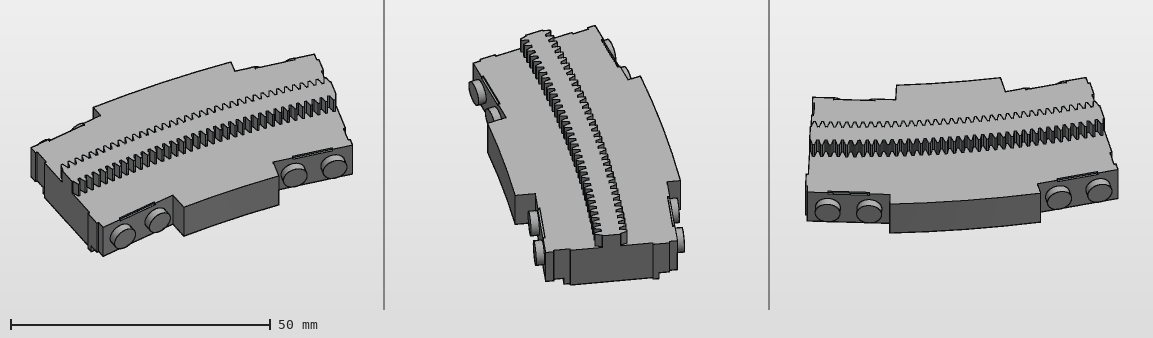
import cadquery as cq
import math


stud_pitch = 24 / 3
step = stud_pitch / 20
plate = stud_pitch / 5
stud_diameter = 4.8
stud_length = plate

rail_radius = 25 * stud_pitch
sweep = math.asin(7 / 25)
outer_radius = rail_radius + 2 * stud_pitch
inner_radius = rail_radius - 2 * stud_pitch

body_height = stud_pitch
body_top = plate + body_height
rail_height = 2 * plate
stud_height = plate + body_height / 2

end_width = 3.2 * stud_pitch
end_length = 2 * stud_pitch
frame_width = 2.3 * stud_pitch
frame_wall = 1.2
tongue_width = 2 * plate
tongue_offset = end_width / 2 - plate - tongue_width / 2

teeth = 36
root_half_width = 1.8
tip_half_width = 3.1


def polar(radius, angle):
    """Point at a radius around the bend centre, with angles counted from the near end."""
    return (rail_radius - radius * math.cos(angle), radius * math.sin(angle))


def box(x_min, x_max, y_min, y_max, z_min, z_max):
    size = (x_max - x_min, y_max - y_min, z_max - z_min)
    return cq.Workplane("XY").box(*size, centered=False).translate((x_min, y_min, z_min))


def bottom_frame():
    """Three walls below an end block, left open towards the middle of the part."""
    half = frame_width / 2
    inner_half = half - frame_wall
    frame = box(-half, half, 0, end_length, 0, plate)
    return frame.cut(box(-inner_half, inner_half, frame_wall, end_length, 0, plate))


def end_face_profile(end):
    """Cut the recess and add the tongue on the end face; both reach down the frame."""
    half = tongue_width / 2
    recess = box(-tongue_offset - half, -tongue_offset + half, 0, step, 0, body_top)
    tongue = box(tongue_offset - half, tongue_offset + half, -step, 0, plate, body_top)
    frame_tongue = box(tongue_offset - half, frame_width / 2, -step, 0, 0, plate)
    return end.cut(recess).union(tongue).union(frame_tongue)


def end_block():
    """End block with studs and top-edge grooves on both sides, in the near-end position."""
    half = end_width / 2
    first_stud = stud_pitch / 2
    last_stud = first_stud + stud_pitch

    block = box(-half, half, 0, end_length, plate, body_top)
    block = end_face_profile(block.union(bottom_frame()))
    for side in (-1, 1):
        wall = side * half
        groove_bounds = sorted((wall, wall - side * step))
        block = block.cut(box(*groove_bounds, first_stud, last_stud, body_top - step, body_top))
        for stud_place in (first_stud, last_stud):
            stud = (
                cq.Workplane("YZ", origin=(wall, 0, 0))
                .center(stud_place, stud_height)
                .circle(stud_diameter / 2)
                .extrude(side * stud_length)
            )
            block = block.union(stud)
    return block


def move_to_far_end(end):
    """Turn the near end to face the other way and swing it along the bend."""
    turned = end.rotate((0, 0, 0), (0, 0, 1), 180)
    return turned.rotate((rail_radius, 0, 0), (rail_radius, 0, 1), -math.degrees(sweep))


def middle_body():
    """Wider body with concentric curved flanks between the two end blocks."""
    outer_start = math.asin(end_length / outer_radius)
    inner_start = math.asin(end_length / inner_radius)
    return (
        cq.Workplane("XY", origin=(0, 0, plate))
        .moveTo(*polar(outer_radius, outer_start))
        .threePointArc(polar(outer_radius, sweep / 2), polar(outer_radius, sweep - outer_start))
        .lineTo(*polar(inner_radius, sweep - inner_start))
        .threePointArc(polar(inner_radius, sweep / 2), polar(inner_radius, inner_start))
        .close()
        .extrude(body_height)
    )


def toothed_edge(side):
    """Points along one side of the rail; every tooth has equal flats and flanks."""
    root = rail_radius + side * root_half_width
    tip = rail_radius + side * tip_half_width
    pitch = sweep / teeth
    points = [polar(root, 0)]
    for tooth in range(teeth):
        for radius, fraction in ((root, 1 / 8), (tip, 3 / 8), (tip, 5 / 8), (root, 7 / 8)):
            points.append(polar(radius, (tooth + fraction) * pitch))
    points.append(polar(root, sweep))
    return points


def toothed_rail():
    outline = toothed_edge(1) + toothed_edge(-1)[::-1]
    return cq.Workplane("XY", origin=(0, 0, body_top)).polyline(outline).close().extrude(rail_height)


near_end = end_block()
far_end = move_to_far_end(near_end)
result = middle_body().union(near_end).union(far_end).union(toothed_rail())